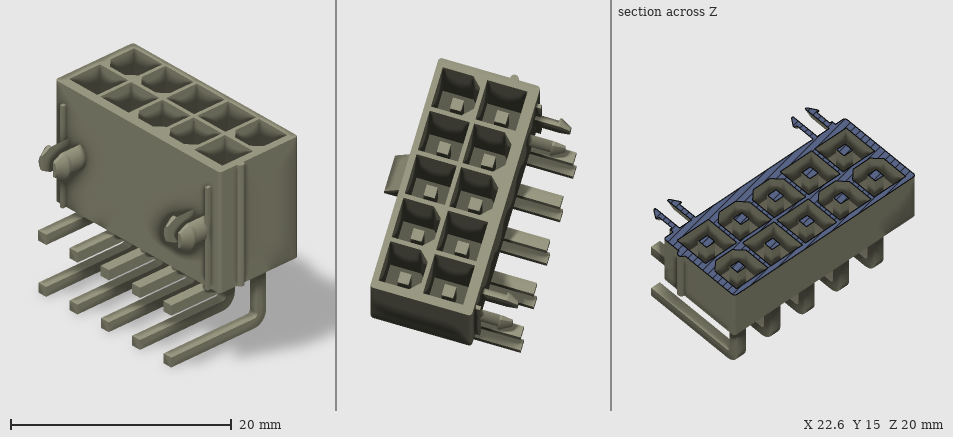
import cadquery as cq
import math


overall_width = 22.6
body_width = 22.2
body_depth = 9.6
body_height = 12.8
corner_radius = 0.32

columns = 5
pitch = 4.2
cavity_size = 3.8
cavity_depth = 9.95
cavity_corner = 0.9
back_wall = 0.59
back_row_y = body_depth - back_wall - cavity_size / 2
front_row_y = back_row_y - pitch
back_keyed_columns = (0, 1, 4)
front_keyed_columns = (2, 3)
column_xs = [(i - (columns - 1) / 2) * pitch for i in range(columns)]

pin_top_z = 7.82
pin_end_y = -4.0
back_pin_size = 1.05
back_pin_bottom_z = -7.15
back_bend_radius = 0.4
front_pin_size = 1.08
front_pin_bottom_z = -1.65
front_bend_radius = 0.27

latch_width = 3.45
latch_reach = 1.4
latch_ramp_drop = 2.35
latch_root_drop = 3.07
latch_tip_drop = 3.16

rib_spacing = 19.48
rib_width = 0.36
rib_height = 10.8
rib_reach = 0.45

key_radius = overall_width - body_width
key_y = 2.49

peg_spacing = (columns - 1) * pitch
peg_z = 6.15
peg_flat_height = 2.62
stem_radius = 1.5
stem_length = 2.17
head_radius = 1.75
band_length = 0.18
nose_length = 1.0
nose_inset = 0.55
peg_slot_width = 1.42
peg_length = stem_length + band_length + nose_length


def box(width, depth, height, x, y, z):
    """Box centred on x and y, standing on z."""
    return cq.Workplane("XY").box(width, depth, height, centered=(True, True, False)).translate((x, y, z))


def make_cavity(x, y, keyed):
    """Square pocket; a keyed one has its two front corners cut off."""
    floor_z = body_height - cavity_depth
    cavity = box(cavity_size, cavity_size, cavity_depth, x, y, floor_z)
    if keyed:
        cavity = cavity.edges("|Z and <Y").chamfer(cavity_corner)
    return cavity


def make_pin(x, y, size, bottom_z, bend_radius):
    """Square pin running down from the cavity, then bent towards the front."""
    back_y = y + size / 2
    front_y = y - size / 2
    inner_z = bottom_z + size
    bend_y = front_y - bend_radius
    bend_z = inner_z + bend_radius
    outer_mid = (bend_radius + size) * math.sqrt(0.5)
    inner_mid = bend_radius * math.sqrt(0.5)
    return (
        cq.Workplane("YZ", origin=(x - size / 2, 0, 0))
        .moveTo(back_y, pin_top_z)
        .lineTo(back_y, bend_z)
        .threePointArc((bend_y + outer_mid, bend_z - outer_mid), (bend_y, bottom_z))
        .lineTo(pin_end_y, bottom_z)
        .lineTo(pin_end_y, inner_z)
        .lineTo(bend_y, inner_z)
        .threePointArc((bend_y + inner_mid, bend_z - inner_mid), (front_y, bend_z))
        .lineTo(front_y, pin_top_z)
        .close()
        .extrude(size)
    )


def make_latch():
    """Ramp rooted inside the back wall, with a slightly hooked underside."""
    root_y = body_depth - back_wall / 2
    return (
        cq.Workplane("YZ")
        .moveTo(root_y, body_height)
        .lineTo(body_depth, body_height)
        .lineTo(body_depth + latch_reach, body_height - latch_ramp_drop)
        .lineTo(body_depth + latch_reach, body_height - latch_tip_drop)
        .lineTo(body_depth, body_height - latch_root_drop)
        .lineTo(root_y, body_height - latch_root_drop)
        .close()
        .extrude(latch_width / 2, both=True)
    )


def peg_profile(x, start, radius):
    """Disc with flats above and below, at a distance in front of the housing."""
    flat_z = peg_flat_height / 2
    flat_x = math.sqrt(radius**2 - flat_z**2)
    return (
        cq.Workplane("XZ", origin=(x, -start, peg_z))
        .moveTo(-flat_x, flat_z)
        .lineTo(flat_x, flat_z)
        .threePointArc((radius, 0), (flat_x, -flat_z))
        .lineTo(-flat_x, -flat_z)
        .threePointArc((-radius, 0), (-flat_x, flat_z))
        .close()
    )


def make_peg(x):
    """Stem, wider band and tapered nose, split by a vertical slot."""
    nose_taper = math.degrees(math.atan2(nose_inset, nose_length))
    stem = peg_profile(x, 0, stem_radius).extrude(stem_length)
    band = peg_profile(x, stem_length, head_radius).extrude(band_length)
    nose = peg_profile(x, stem_length + band_length, head_radius).extrude(nose_length, taper=nose_taper)
    slot = box(peg_slot_width, peg_length, peg_flat_height, x, -peg_length / 2, peg_z - peg_flat_height / 2)
    return stem.union(band).union(nose).cut(slot)


result = box(body_width, body_depth, body_height, 0, body_depth / 2, 0).edges("|Z").fillet(corner_radius)
for column, column_x in enumerate(column_xs):
    result = result.cut(make_cavity(column_x, back_row_y, column in back_keyed_columns))
    result = result.cut(make_cavity(column_x, front_row_y, column in front_keyed_columns))

result = result.union(make_latch())
result = result.union(
    cq.Workplane("XY").center(body_width / 2, key_y).circle(key_radius).extrude(body_height)
)
for side in (-1, 1):
    result = result.union(box(rib_width, rib_reach, rib_height, side * rib_spacing / 2, -rib_reach / 2, 0))
    result = result.union(make_peg(side * peg_spacing / 2))

for column_x in column_xs:
    result = result.union(make_pin(column_x, back_row_y, back_pin_size, back_pin_bottom_z, back_bend_radius))
    result = result.union(make_pin(column_x, front_row_y, front_pin_size, front_pin_bottom_z, front_bend_radius))